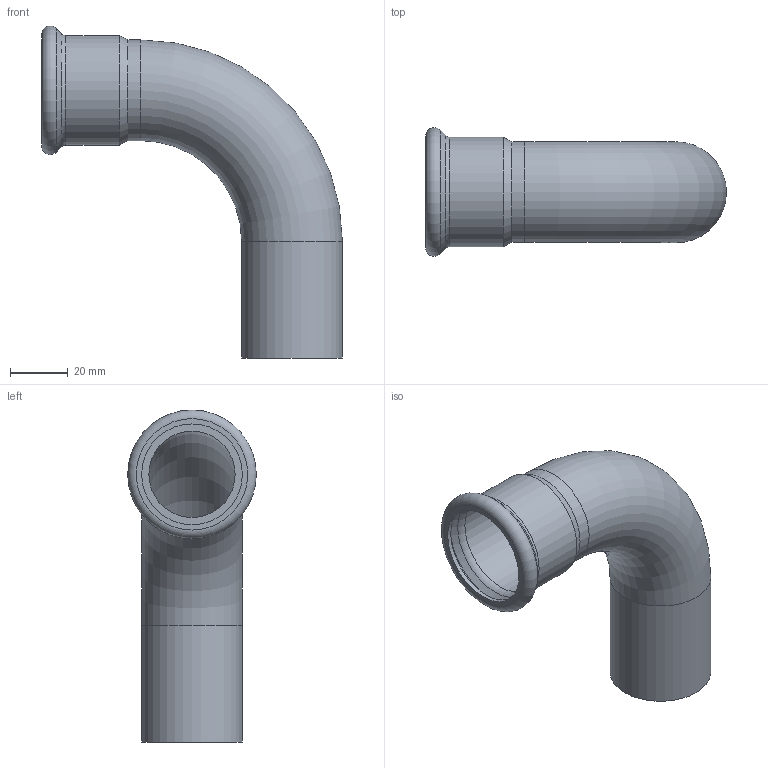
import cadquery as cq
import math

pipe_diameter = 35.0
pipe_bore_diameter = 30.0
socket_diameter = 38.0
socket_bore_diameter = 35.0
bead_diameter = 44.7
bend_radius = 1.5 * pipe_diameter
spigot_length = 40.5

socket_end = 27.0
taper_end = 30.0
bend_start = 34.5

bead_radius = 3.0
flank_root_radius = 2.0
flank_angle = 45.0

pipe_radius = pipe_diameter / 2
pipe_bore_radius = pipe_bore_diameter / 2
socket_radius = socket_diameter / 2
socket_bore_radius = socket_bore_diameter / 2
wall = socket_radius - socket_bore_radius

bead_center = (bead_radius, bead_diameter / 2 - bead_radius)
groove_radius = bead_radius - wall
lip_length = wall

root_height = socket_radius + flank_root_radius
center_rise = bead_center[1] - root_height
flank_slope = math.radians(flank_angle)
center_run = (bead_radius + flank_root_radius + center_rise * math.cos(flank_slope)) / math.sin(flank_slope)
socket_start = bead_center[0] + center_run
root_center = (socket_start, root_height)

mouth_x = -(bend_start + bend_radius)


def polar_point(center, radius, angle):
    """Point in the axial half plane; angle in degrees is measured from the socket axis."""
    return (
        center[0] + radius * math.cos(math.radians(angle)),
        center[1] + radius * math.sin(math.radians(angle)),
    )


def bead_to_socket(profile, round_radius, root_radius, cylinder_radius):
    """Continue a half profile over the bead round, down its flank and onto the socket cylinder."""
    flank_normal = 90 - flank_angle
    root_angle = 180 + flank_normal
    return (
        profile.threePointArc(
            polar_point(bead_center, round_radius, 90 + flank_angle),
            polar_point(bead_center, round_radius, flank_normal),
        )
        .lineTo(*polar_point(root_center, root_radius, root_angle))
        .threePointArc(
            polar_point(root_center, root_radius, (root_angle + 270) / 2),
            (socket_start, cylinder_radius),
        )
    )


def revolve_about_x(profile):
    """Revolve an axial half profile and move its start to the socket mouth."""
    return profile.close().revolve(360, (0, 0, 0), (1, 0, 0)).translate((mouth_x, 0, 0))


def bent_rod(radius):
    """Solid rod from the taper end through the 90 degree bend to the spigot end."""
    path = (
        cq.Workplane("XZ")
        .moveTo(mouth_x + taper_end, 0)
        .lineTo(-bend_radius, 0)
        .radiusArc((0, -bend_radius), bend_radius)
        .lineTo(0, -bend_radius - spigot_length)
    )
    return cq.Workplane("YZ", origin=(mouth_x + taper_end, 0, 0)).circle(radius).sweep(path)


def socket_body():
    """Solid socket: mouth bead, straight socket and taper down to the pipe."""
    profile = cq.Workplane("XY").lineTo(0, bead_center[1])
    profile = (
        bead_to_socket(profile, bead_radius, flank_root_radius, socket_radius)
        .lineTo(socket_end, socket_radius)
        .lineTo(taper_end, pipe_radius)
        .lineTo(taper_end, 0)
    )
    return revolve_about_x(profile)


def socket_bore():
    """Socket cavity: mouth lip, seal groove inside the bead, socket bore and pipe stop."""
    profile = (
        cq.Workplane("XY")
        .lineTo(0, socket_bore_radius)
        .lineTo(lip_length, socket_bore_radius)
        .lineTo(lip_length, bead_center[1])
    )
    profile = (
        bead_to_socket(profile, groove_radius, flank_root_radius + wall, socket_bore_radius)
        .lineTo(socket_end, socket_bore_radius)
        .lineTo(socket_end, pipe_bore_radius)
        .lineTo(taper_end, pipe_bore_radius)
        .lineTo(taper_end, 0)
    )
    return revolve_about_x(profile)


result = socket_body().union(bent_rod(pipe_radius)).cut(socket_bore()).cut(bent_rod(pipe_bore_radius))